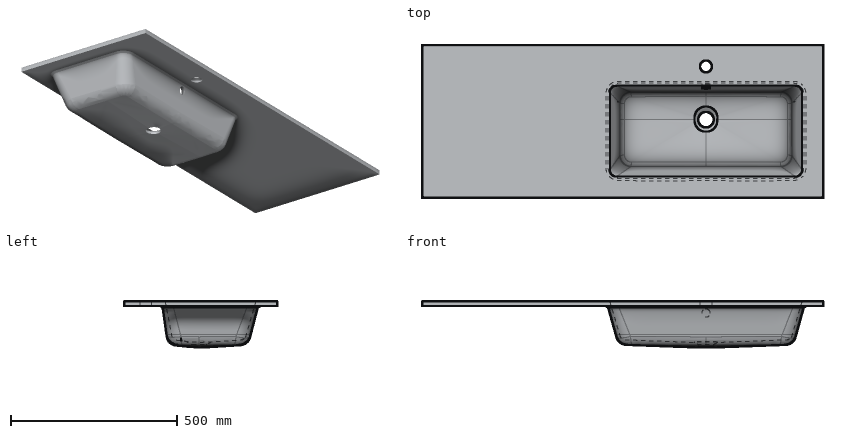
import math
import cadquery as cq

SLAB_LENGTH = 1205.0
SLAB_WIDTH = 460.0
SLAB_THICKNESS = 15.0
SLAB_EDGE_RADIUS = 3.0
TOTAL_HEIGHT = 140.0

OPENING_LENGTH = 578.0
OPENING_WIDTH = 273.0
OPENING_CENTER_X = 852.5
OPENING_FRONT_Y = 64.0
OPENING_BACK_Y = OPENING_FRONT_Y + OPENING_WIDTH
OPENING_CORNER_RADIUS = 20.0

BOWL_LEANS = (0.295, 0.29, 0.19)
SHELL_LEANS = (0.28, 0.26, 0.14)
CORNER_GROWTH = 0.12
WALL_THICKNESS = 10.5

DRAIN_DIAMETER = 46.0
DRAIN_RIM_DIAMETER = 72.0
DRAIN_SEAT_DEPTH = 8.0
DRAIN_Y = 235.0
TAP_HOLE_DIAMETER = 35.0
TAP_HOLE_Y = SLAB_WIDTH - 65.0
OVERFLOW_DIAMETER = 25.0
OVERFLOW_DEPTH = 36.0

FLOOR_FALL = 10.0
FLOOR_THICKNESS = 15.0
FALL_INSIDE_DRAIN = FLOOR_FALL * DRAIN_DIAMETER / OPENING_LENGTH
SHELL_RIM_DEPTH = TOTAL_HEIGHT - FLOOR_FALL + FALL_INSIDE_DRAIN
BOWL_RIM_DEPTH = SHELL_RIM_DEPTH - FLOOR_THICKNESS
BOWL_FLOOR_FILLET = 14.0
SHELL_FLOOR_FILLET = 34.0
SHELL_NECK_CHAMFER = 5.0

CLEARANCE = 1.0


def wall_limits(depth, margin, leans):
    """Left X, front Y and back Y of the basin walls at a depth below the slab top."""
    side_lean, front_lean, back_lean = leans
    left = OPENING_CENTER_X - OPENING_LENGTH / 2 + side_lean * depth - margin
    front = OPENING_FRONT_Y + front_lean * depth - margin
    back = OPENING_BACK_Y - back_lean * depth + margin
    return left, front, back


def wall_outline(depth, margin, leans):
    """Rounded rectangle that the basin walls follow at a depth below the slab top."""
    left, front, back = wall_limits(depth, margin, leans)
    length = 2 * (OPENING_CENTER_X - left)
    radius = OPENING_CORNER_RADIUS + CORNER_GROWTH * depth + margin
    outline = cq.Sketch().rect(length, back - front).vertices().fillet(radius)
    return outline.moved(cq.Location(cq.Vector(OPENING_CENTER_X, (front + back) / 2, -depth)))


def walled_volume(top_depth, bottom_depth, margin, leans):
    """Tapered volume inside the basin walls between two depths."""
    top = wall_outline(top_depth, margin, leans)
    bottom = wall_outline(bottom_depth, margin, leans)
    return cq.Workplane().placeSketch(top, bottom).loft(ruled=True)


def space_above_panel(left_x, wall_y, rim_depth):
    """Block over one floor panel, twisted so that it is level at the walls and low at the drain."""

    def cross_section(x, depth_at_drain):
        points = [(wall_y, 0), (wall_y, -rim_depth), (DRAIN_Y, -depth_at_drain), (DRAIN_Y, 0)]
        return cq.Wire.makePolygon([cq.Vector(x, y, z) for y, z in points], close=True)

    outer_end = cross_section(left_x, rim_depth)
    drain_end = cross_section(OPENING_CENTER_X, rim_depth + FLOOR_FALL)
    return cq.Workplane(obj=cq.Solid.makeLoft([outer_end, drain_end], True))


def fillet_reach(floor_fillet, lean):
    """Height that a floor fillet climbs up a leaning wall above a level floor."""
    wall_angle = math.atan(lean)
    tangent_length = floor_fillet * math.tan((math.pi / 2 - wall_angle) / 2)
    return tangent_length * math.cos(wall_angle)


def basin_body(margin, leans, rim_depth, floor_fillet):
    """Basin volume: tapered walls, rounded floor edge and four floor panels falling to the drain."""
    foot_depth = rim_depth - fillet_reach(floor_fillet, min(leans)) - CLEARANCE
    walls = walled_volume(0, foot_depth, margin, leans)

    foot = walled_volume(foot_depth, rim_depth + 2 * FLOOR_FALL, margin, leans)
    left, front, back = wall_limits(foot_depth, margin, leans)
    panel_left = left - CLEARANCE
    front_panel = foot.intersect(space_above_panel(panel_left, front - CLEARANCE, rim_depth))
    front_panel = front_panel.faces("<Z").edges("not(>X or >Y)").fillet(floor_fillet)
    back_panel = foot.intersect(space_above_panel(panel_left, back + CLEARANCE, rim_depth))
    back_panel = back_panel.faces("<Z").edges("not(>X or <Y)").fillet(floor_fillet)

    left_half = front_panel.union(back_panel)
    right_half = left_half.mirror("YZ", (OPENING_CENTER_X, 0, 0))
    return walls.union(left_half).union(right_half)


def slab():
    board = cq.Workplane().box(SLAB_LENGTH, SLAB_WIDTH, SLAB_THICKNESS, centered=False)
    board = board.translate((0, 0, -SLAB_THICKNESS))
    return board.faces(">Z").edges().fillet(SLAB_EDGE_RADIUS)


def slab_with_shell():
    """Slab joined to the outside of the basin, with a chamfer in the corner under the slab."""
    body = slab().union(basin_body(WALL_THICKNESS, SHELL_LEANS, SHELL_RIM_DEPTH, SHELL_FLOOR_FILLET))
    neck_edges = cq.selectors.BoxSelector(
        (CLEARANCE, CLEARANCE, -SLAB_THICKNESS - CLEARANCE),
        (SLAB_LENGTH - CLEARANCE, SLAB_WIDTH - CLEARANCE, -SLAB_THICKNESS + CLEARANCE),
        boundingbox=True,
    )
    return body.edges(neck_edges).chamfer(SHELL_NECK_CHAMFER)


def vertical_hole(diameter, y):
    bottom = cq.Workplane("XY", (OPENING_CENTER_X, y, -2 * TOTAL_HEIGHT))
    return bottom.circle(diameter / 2).extrude(3 * TOTAL_HEIGHT)


def drain_seat():
    """Cone that narrows from the drain rim in the floor to the drain hole."""
    rim_z = -BOWL_RIM_DEPTH - FLOOR_FALL * (1 - DRAIN_RIM_DIAMETER / OPENING_WIDTH)
    cone_widening = (DRAIN_RIM_DIAMETER - DRAIN_DIAMETER) / 2 / DRAIN_SEAT_DEPTH
    cone_height = 2 * DRAIN_SEAT_DEPTH
    top_radius = DRAIN_DIAMETER / 2 + cone_widening * cone_height
    bottom = cq.Vector(OPENING_CENTER_X, DRAIN_Y, rim_z - DRAIN_SEAT_DEPTH)
    return cq.Workplane(obj=cq.Solid.makeCone(DRAIN_DIAMETER / 2, top_radius, cone_height, bottom))


def overflow_hole():
    """Level hole through the back wall of the basin, starting inside the bowl."""
    start = cq.Workplane("XZ", (OPENING_CENTER_X, DRAIN_Y, -OVERFLOW_DEPTH))
    return start.circle(OVERFLOW_DIAMETER / 2).extrude(DRAIN_Y - SLAB_WIDTH)


result = slab_with_shell()
result = result.cut(basin_body(0, BOWL_LEANS, BOWL_RIM_DEPTH, BOWL_FLOOR_FILLET))
result = result.cut(drain_seat())
result = result.cut(vertical_hole(DRAIN_DIAMETER, DRAIN_Y))
result = result.cut(vertical_hole(TAP_HOLE_DIAMETER, TAP_HOLE_Y))
result = result.cut(overflow_hole())